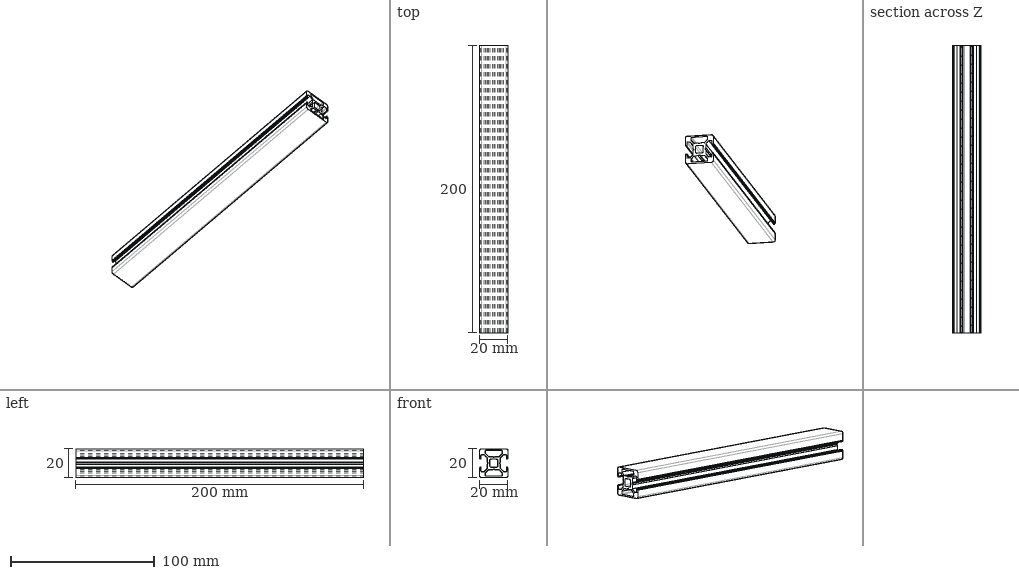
import cadquery as cq

size = 20.0
length = 200.0
corner_radius = 1.5

wall = 1.1
cavity_half_width = 5.8
cavity_radius = 0.5
web_thickness = 1.4
slot_width = 5.5
lip_step_depth = 0.5
lip_step_width = 0.6
lip_slope_depth = 0.15
lip_slope_width = 0.45

core_half = 4.6
bore_side = 5.5
bore_radius = 1.0
groove_half_width = 0.9
groove_depth = 0.5

half = size / 2
cavity_outer = half - wall
web_offset = web_thickness / 2**0.5
overcut = 1.0


def extrude_y(sketch):
    """Extrude an XZ sketch symmetrically over the full length."""
    return sketch.extrude(length / 2, both=True)


def make_body():
    body = extrude_y(cq.Workplane("XZ").rect(size, size))
    return body.edges("|Y").fillet(corner_radius)


def make_cavity():
    """Cavity on the +X side: a straight outer part, web flanks and the V groove in the core face."""
    upper = [
        (core_half - groove_depth, 0),
        (core_half, groove_half_width),
        (core_half, core_half - web_offset),
        (cavity_half_width + web_offset, cavity_half_width),
        (cavity_outer, cavity_half_width),
    ]
    lower = [(x, -z) for x, z in reversed(upper[1:])]
    cavity = extrude_y(cq.Workplane("XZ").polyline(upper + lower).close())
    return cavity.faces(">X").edges("|Y").fillet(cavity_radius)


def make_mouth():
    """Slot mouth on the +X side, with a rebate and a gentle slope along each lip."""
    mouth_half = slot_width / 2
    step_edge = mouth_half + lip_step_width
    slope_edge = step_edge + lip_slope_width
    upper = [
        (cavity_outer - overcut, mouth_half),
        (half - lip_step_depth, mouth_half),
        (half - lip_step_depth, step_edge),
        (half - lip_slope_depth, step_edge),
        (half, slope_edge),
        (half + overcut, slope_edge),
    ]
    lower = [(x, -z) for x, z in reversed(upper)]
    return extrude_y(cq.Workplane("XZ").polyline(upper + lower).close())


def make_bore():
    bore = extrude_y(cq.Workplane("XZ").rect(bore_side, bore_side))
    return bore.edges("|Y").fillet(bore_radius)


def turned(shape, angle):
    """Turn a shape about the profile axis."""
    return shape.rotate((0, 0, 0), (0, 1, 0), angle)


result = make_body().cut(make_bore())
for angle in (0, 90, 180, 270):
    result = result.cut(turned(make_cavity(), angle))
for angle in (0, 180):
    result = result.cut(turned(make_mouth(), angle))